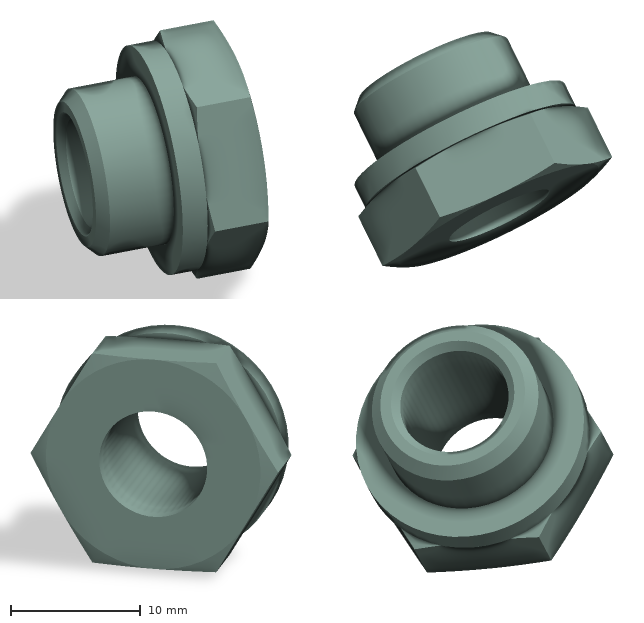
import cadquery as cq
import math

hex_corner_diameter = 19.63
hex_length = 5.0
hex_chamfer_angle = 15.0
washer_diameter = 18.0
washer_bore = 13.2
washer_thickness = 2.0
spigot_diameter = 13.15
spigot_chamfer = 0.86
bore_diameter = 8.55
bore_chamfer = 0.59
total_length = 13.0

hex_corner_radius = hex_corner_diameter / 2
hex_flat_radius = hex_corner_radius * math.cos(math.pi / 6)
hex_chamfer_drop = (hex_corner_radius - hex_flat_radius) * math.tan(math.radians(hex_chamfer_angle))
spigot_length = total_length - hex_length
spigot_radius = spigot_diameter / 2
bore_radius = bore_diameter / 2


def revolve_about_y(points):
    """Solid of revolution about Y from (radius, y) points."""
    return cq.Workplane("XY").polyline(points).close().revolve(360, (0, 0, 0), (0, 1, 0))


def make_hex_head():
    """Hexagon from y = 0 to hex_length, with its corners turned off conically at both ends."""
    prism = (
        cq.Workplane("XZ")
        .polygon(6, hex_corner_diameter)
        .extrude(-hex_length)
    )
    turned_envelope = revolve_about_y([
        (0, 0),
        (hex_flat_radius, 0),
        (hex_corner_radius, hex_chamfer_drop),
        (hex_corner_radius, hex_length - hex_chamfer_drop),
        (hex_flat_radius, hex_length),
        (0, hex_length),
    ])
    return prism.intersect(turned_envelope)


def make_spigot():
    """Round spigot with a chamfered free end."""
    return revolve_about_y([
        (0, 0),
        (spigot_radius, 0),
        (spigot_radius, spigot_chamfer - spigot_length),
        (spigot_radius - spigot_chamfer, -spigot_length),
        (0, -spigot_length),
    ])


def make_bore():
    """Through bore, countersunk at the spigot end."""
    return revolve_about_y([
        (0, -spigot_length),
        (bore_radius + bore_chamfer, -spigot_length),
        (bore_radius, bore_chamfer - spigot_length),
        (bore_radius, hex_length),
        (0, hex_length),
    ])


def make_fitting():
    return make_hex_head().union(make_spigot()).cut(make_bore())


def make_washer():
    """Sealing washer seated against the hexagon, with clearance around the spigot."""
    return (
        cq.Workplane("XZ")
        .circle(washer_diameter / 2)
        .circle(washer_bore / 2)
        .extrude(washer_thickness)
    )


fitting = make_fitting()
washer = make_washer()
result = cq.Compound.makeCompound([fitting.val(), washer.val()])